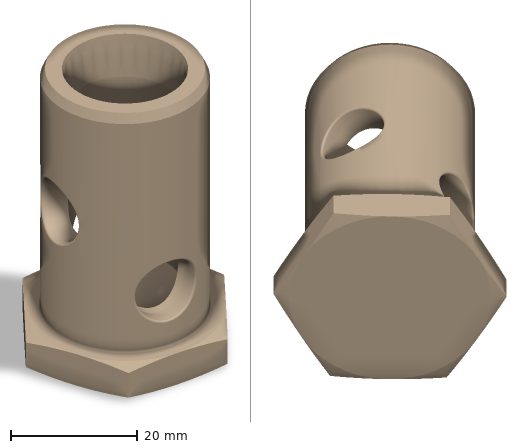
import cadquery as cq
import math

HEX_SIDES = 6
HEX_HALF_ANGLE = 180 / HEX_SIDES
ACROSS_FLATS = 32.0
HEAD_HEIGHT = 6.0
CORNER_CHAMFER_ANGLE = 15.0

TOTAL_HEIGHT = 51.0
SHANK_DIAMETER = 26.96
TIP_CHAMFER_HEIGHT = 1.6
TIP_CHAMFER_WIDTH = 0.8
NECK_FILLET = 0.4

BORE_DIAMETER = 18.0
MOUTH_DIAMETER = 20.0
MOUTH_DEPTH = 7.5
BORE_WALL_END = 10.0
DRILL_POINT_ANGLE = 120.0

CROSS_HOLE_DIAMETER = 11.0
UPPER_HOLE_HEIGHT = 28.5
LOWER_HOLE_HEIGHT = 16.3
CROSS_HOLE_FILLET = 0.3

HEAD_RADIUS = ACROSS_FLATS / 2
CORNER_RADIUS = HEAD_RADIUS / math.cos(math.radians(HEX_HALF_ANGLE))
SHANK_RADIUS = SHANK_DIAMETER / 2
BORE_RADIUS = BORE_DIAMETER / 2


def hexagon_head():
    """Hexagonal prism with corners along Y, chamfered conically on both faces."""
    prism = (
        cq.Workplane("XY")
        .polygon(HEX_SIDES, 2 * CORNER_RADIUS)
        .extrude(HEAD_HEIGHT)
        .rotate((0, 0, 0), (0, 0, 1), HEX_HALF_ANGLE)
    )
    corner_drop = (CORNER_RADIUS - HEAD_RADIUS) * math.tan(math.radians(CORNER_CHAMFER_ANGLE))
    envelope = (
        cq.Workplane("XZ")
        .moveTo(0, 0)
        .lineTo(HEAD_RADIUS, 0)
        .lineTo(CORNER_RADIUS, corner_drop)
        .lineTo(CORNER_RADIUS, HEAD_HEIGHT - corner_drop)
        .lineTo(HEAD_RADIUS, HEAD_HEIGHT)
        .lineTo(0, HEAD_HEIGHT)
        .close()
        .revolve(360, (0, 0), (0, 1))
    )
    return prism.intersect(envelope)


def shank():
    """Round shank with a filleted neck and a tapered tip, rising from the base of the head."""
    neck_top = HEAD_HEIGHT + NECK_FILLET
    neck_mid_offset = NECK_FILLET * (1 - math.sqrt(0.5))
    return (
        cq.Workplane("XZ")
        .lineTo(SHANK_RADIUS + NECK_FILLET, 0)
        .lineTo(SHANK_RADIUS + NECK_FILLET, HEAD_HEIGHT)
        .threePointArc(
            (SHANK_RADIUS + neck_mid_offset, HEAD_HEIGHT + neck_mid_offset),
            (SHANK_RADIUS, neck_top),
        )
        .lineTo(SHANK_RADIUS, TOTAL_HEIGHT - TIP_CHAMFER_HEIGHT)
        .lineTo(SHANK_RADIUS - TIP_CHAMFER_WIDTH, TOTAL_HEIGHT)
        .lineTo(0, TOTAL_HEIGHT)
        .close()
        .revolve(360, (0, 0), (0, 1))
    )


def cross_hole(plane, height):
    """Cylinder through the whole shank, normal to the given plane."""
    return (
        cq.Workplane(plane)
        .center(0, height)
        .circle(CROSS_HOLE_DIAMETER / 2)
        .extrude(SHANK_DIAMETER, both=True)
    )


def drill_cross_holes(body):
    """Drill both cross holes and round their outer rims before the shank is bored."""
    upper = cross_hole("XZ", UPPER_HOLE_HEIGHT)
    lower = cross_hole("YZ", LOWER_HOLE_HEIGHT)
    body = body.cut(upper).cut(lower)
    for side in (-1, 1):
        rim_points = (
            (0, side * SHANK_RADIUS, UPPER_HOLE_HEIGHT),
            (side * SHANK_RADIUS, 0, LOWER_HOLE_HEIGHT),
        )
        for rim_centre in rim_points:
            rim = cq.selectors.NearestToPointSelector(rim_centre)
            body = body.edges(rim).fillet(CROSS_HOLE_FILLET)
    return body


def bore():
    """Blind bore: tapered mouth, straight wall, floor shaped by a drill point."""
    taper_start = TOTAL_HEIGHT - MOUTH_DEPTH
    point_depth = BORE_RADIUS / math.tan(math.radians(DRILL_POINT_ANGLE / 2))
    return (
        cq.Workplane("XZ")
        .moveTo(0, BORE_WALL_END - point_depth)
        .lineTo(BORE_RADIUS, BORE_WALL_END)
        .lineTo(BORE_RADIUS, taper_start)
        .lineTo(MOUTH_DIAMETER / 2, TOTAL_HEIGHT)
        .lineTo(0, TOTAL_HEIGHT)
        .close()
        .revolve(360, (0, 0), (0, 1))
    )


result = drill_cross_holes(hexagon_head().union(shank())).cut(bore())